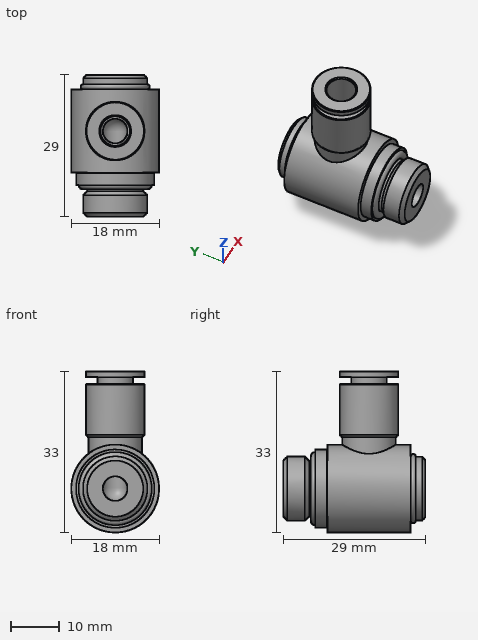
import cadquery as cq


overall_height = 33.0
body_diameter = 18.0
body_length = 17.0
body_end = body_length / 2

collar_diameter = 16.0
collar_gap = 0.1
collar_end = 11.02
undercut_diameter = 11.45
front_ring_section = 1.75
front_ring_diameter = undercut_diameter + 2 * front_ring_section
undercut_end = 12.25
thread_diameter = 13.17
thread_chamfer = (thread_diameter - undercut_diameter) / 2
stud_end = 17.52

cap_diameter = 13.1
cap_chamfer = 0.65
cap_end = 11.5
back_ring_section = 1.05
back_ring_diameter = cap_diameter + back_ring_section
back_ring_centre = body_end + back_ring_section / 2

neck_diameter = 11.0
outlet_diameter = 12.0
sleeve_chamfer = (outlet_diameter - neck_diameter) / 2
sleeve_bottom = 10.45
sleeve_top = 21.42
button_stem_diameter = 7.3
button_bottom = 22.77
outlet_top = overall_height - body_diameter / 2
rim_chamfer = 0.15

passage_diameter = 5.0
tube_diameter = 6.0
tube_socket_bottom = sleeve_bottom
tube_chamfer = 0.25


def y_cylinder(diameter, start, end):
    """Cylinder on the run axis between two Y positions, start below end."""
    plane = cq.Workplane("XZ", origin=(0, end, 0))
    return plane.circle(diameter / 2).extrude(end - start)


def z_cylinder(diameter, bottom, top):
    """Cylinder on the outlet axis between two Z positions."""
    plane = cq.Workplane("XY", origin=(0, 0, bottom))
    return plane.circle(diameter / 2).extrude(top - bottom)


def seal_ring(outer_diameter, section, centre):
    """Round-section ring about the run axis."""
    centre_radius = (outer_diameter - section) / 2
    section_plane = cq.Plane(origin=(centre_radius, centre, 0), xDir=(-1, 0, 0), normal=(0, 0, 1))
    profile = cq.Workplane(section_plane).circle(section / 2)
    return profile.revolve(360, (centre_radius, 0), (centre_radius, 1))


def make_stud():
    collar = y_cylinder(collar_diameter, -collar_end, -body_end - collar_gap)
    undercut = y_cylinder(undercut_diameter, -undercut_end, 0)
    thread = y_cylinder(thread_diameter, -stud_end, -undercut_end)
    thread = thread.faces("<Y or >Y").chamfer(thread_chamfer)
    ring = seal_ring(front_ring_diameter, front_ring_section, -collar_end)
    return collar.union(undercut).union(thread).union(ring)


def make_cap():
    cap = y_cylinder(cap_diameter, 0, cap_end)
    cap = cap.faces(">Y").chamfer(cap_chamfer)
    return cap.union(seal_ring(back_ring_diameter, back_ring_section, back_ring_centre))


def make_outlet():
    neck = z_cylinder(neck_diameter, 0, sleeve_bottom)
    sleeve = z_cylinder(outlet_diameter, sleeve_bottom, sleeve_top)
    sleeve = sleeve.faces("<Z").chamfer(sleeve_chamfer)
    sleeve = sleeve.faces(">Z").chamfer(rim_chamfer)
    stem = z_cylinder(button_stem_diameter, sleeve_top, button_bottom)
    button = z_cylinder(outlet_diameter, button_bottom, outlet_top)
    button = button.faces(">Z").chamfer(rim_chamfer)
    return neck.union(sleeve).union(stem).union(button)


def make_passages():
    """Right-angle bore with a spherical corner, widening into the tube socket."""
    run = y_cylinder(passage_diameter, -stud_end, 0)
    riser = z_cylinder(passage_diameter, 0, tube_socket_bottom)
    corner = cq.Workplane("XY").sphere(passage_diameter / 2)
    socket = z_cylinder(tube_diameter, tube_socket_bottom, outlet_top)
    return run.union(riser).union(corner).union(socket)


body = y_cylinder(body_diameter, -body_end, body_end)
solid = body.union(make_stud()).union(make_cap()).union(make_outlet())
solid = solid.cut(make_passages())

socket_mouth = cq.selectors.RadiusNthSelector(0)
result = solid.faces(">Z").edges(socket_mouth).chamfer(tube_chamfer)